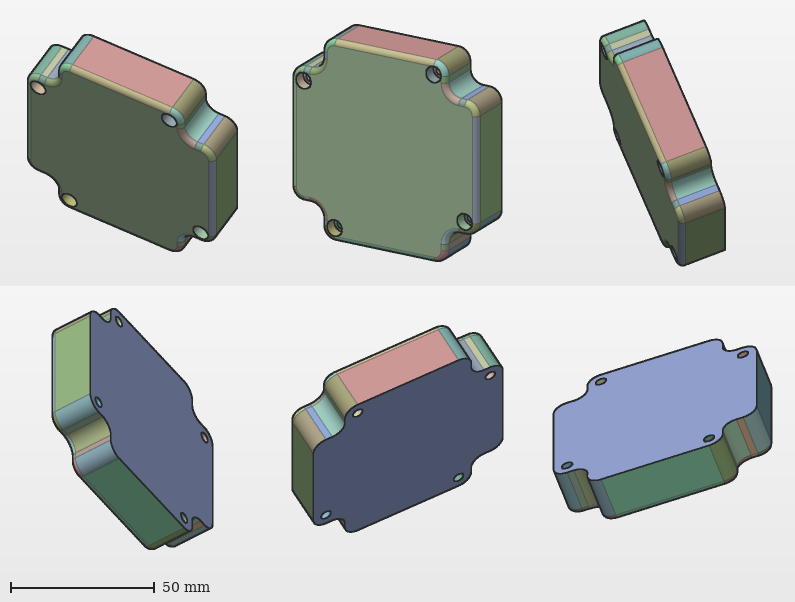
import cadquery as cq

size = 75.0
depth = 17.0
notch = 12.5
corner_radius = 5.0
edge_radius = 2.0
hole_diameter = 3.8
head_depth = 5.0

head_diameter = 2 * (corner_radius - edge_radius)

screw_far = size / 2 - corner_radius
screw_near = size / 2 - notch - corner_radius


def make_body():
    """Square block with notched corners; back at Y = 0, front at Y = -depth."""
    inner_size = size - 2 * notch
    wide_bar = cq.Workplane("XZ").rect(size, inner_size).extrude(depth)
    tall_bar = cq.Workplane("XZ").rect(inner_size, size).extrude(depth)
    cross = wide_bar.union(tall_bar)
    rounded = cross.edges("|Y").fillet(corner_radius)
    return rounded.faces("<Y").edges().fillet(edge_radius)


def screw_positions():
    """One (X, Z) place per corner, each a quarter turn from the last."""
    x, z = screw_near, screw_far
    positions = []
    for _ in range(4):
        positions.append((x, z))
        x, z = z, -x
    return positions


def make_screw_cutters():
    """Through holes with head recesses opening on the front face."""
    positions = screw_positions()
    shanks = cq.Workplane("XZ").pushPoints(positions).circle(hole_diameter / 2).extrude(depth)
    recess_floor = cq.Workplane("XZ", origin=(0, head_depth - depth, 0))
    heads = recess_floor.pushPoints(positions).circle(head_diameter / 2).extrude(head_depth)
    return shanks.union(heads)


result = make_body().cut(make_screw_cutters())